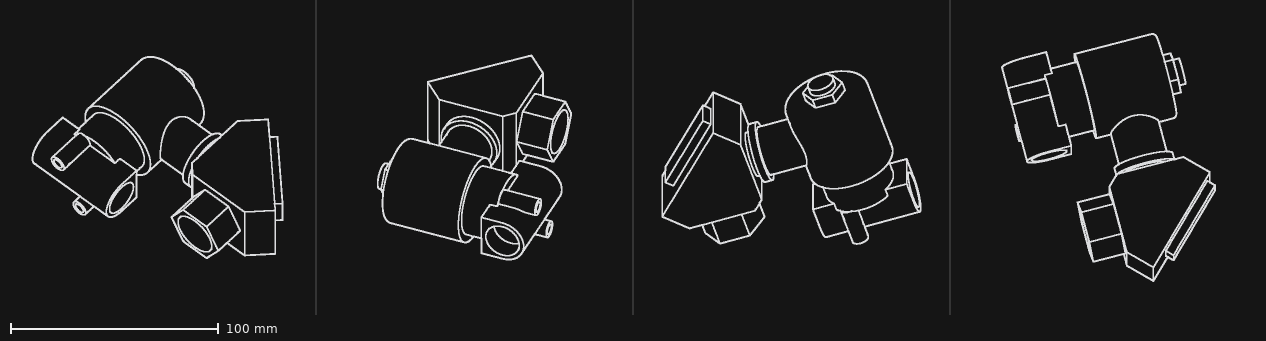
import cadquery as cq
import math


overall_length = 116.4

coil_diameter = 42.0
coil_top = 21.3
coil_bottom = -19.1
coil_rim_fillet = 2.2
conduit_radius = 12.0
conduit_end = 37.7
flange_radius = 14.5
flange_end = 41.5
neck_radius = 11.0

stem_radius = 6.4
stem_top = 29.2
nut_corner_diameter = 19.9
nut_top = 26.0
base_diameter = 34.1
base_bottom = -36.0
port_block_left = -23.7
port_block_length = 47.5
port_block_radius = 11.1
port_block_top = -32.2
port_axis_y = -43.3
port_radius = 8.7
port_depth = 10.0
tube_radius = 4.1
tube_bore_radius = 2.6
tube_end = -54.8
tube_bore_depth = 14.0
tube_offset_x = 7.0
tube_offset_z = 12.0

box_left = 44.0
box_bottom = -20.0
box_height = 36.1
box_corner_chamfer = 5.0
box_side = 38.2
box_right = port_block_left + overall_length
box_shoulder = box_right - box_left - box_side
cover_length = 39.7
cover_width = 13.7
cover_thickness = 4.3
cover_shift = 4.7
hex_corner_diameter = 30.2
hex_center_x = 64.4
hex_end = -36.0
hex_bore_radius = 10.8
hex_bore_depth = 12.7


def cylinder_y(radius, y_start, y_end, x=0, z=0):
    """Round bar along Y between two heights."""
    length = y_end - y_start
    return cq.Workplane("XZ", origin=(x, y_start, z)).circle(radius).extrude(-length)


def hexagon_y(corner_diameter, y_start, y_end, x=0):
    """Hexagonal bar along Y with two corners pointing along X."""
    length = y_end - y_start
    return cq.Workplane("XZ", origin=(x, y_start, 0)).polygon(6, corner_diameter).extrude(-length)


def cylinder_x(radius, x_start, x_end, y=0):
    """Round bar along X between two positions."""
    return cq.Workplane("YZ", origin=(x_start, y, 0)).circle(radius).extrude(x_end - x_start)


def make_coil():
    coil = cylinder_y(coil_diameter / 2, coil_bottom, coil_top).faces(">Y").edges().fillet(coil_rim_fillet)
    conduit = cylinder_x(conduit_radius, 0, conduit_end)
    flange = cylinder_x(flange_radius, conduit_end, flange_end)
    neck = cylinder_x(neck_radius, flange_end, box_left)
    stem_hole = cylinder_y(stem_radius, coil_bottom, coil_top)
    return coil.union(conduit).union(flange).union(neck).cut(stem_hole)


def make_port_block():
    return (
        cq.Workplane("YZ", origin=(port_block_left, 0, 0))
        .moveTo(port_block_top, port_block_radius)
        .lineTo(port_axis_y, port_block_radius)
        .threePointArc((port_axis_y - port_block_radius, 0), (port_axis_y, -port_block_radius))
        .lineTo(port_block_top, -port_block_radius)
        .close()
        .extrude(port_block_length)
    )


def make_valve():
    stem = cylinder_y(stem_radius, coil_bottom, stem_top)
    nut = hexagon_y(nut_corner_diameter, coil_top, nut_top)
    base = cylinder_y(base_diameter / 2, base_bottom, coil_bottom)
    valve = base.union(stem).union(nut).union(make_port_block())
    for side in (-1, 1):
        x = side * tube_offset_x
        z = -side * tube_offset_z
        valve = valve.union(cylinder_y(tube_radius, tube_end, base_bottom, x, z))
        valve = valve.cut(cylinder_y(tube_bore_radius, tube_end, tube_end + tube_bore_depth, x, z))
    port_block_right = port_block_left + port_block_length
    valve = valve.cut(cylinder_x(port_radius, port_block_left, port_block_left + port_depth, port_axis_y))
    valve = valve.cut(cylinder_x(port_radius, port_block_right - port_depth, port_block_right, port_axis_y))
    return valve


def make_junction_box():
    box_reach = box_side + box_shoulder
    outline = [
        (box_corner_chamfer, 0),
        (box_side, 0),
        (box_reach, box_shoulder),
        (box_shoulder, box_reach),
        (0, box_side),
        (0, box_corner_chamfer),
    ]
    box = (
        cq.Workplane("XY", origin=(box_left, box_bottom, -box_height / 2))
        .polyline(outline)
        .close()
        .extrude(box_height)
    )
    face_middle = (box_reach + box_shoulder) / 2
    shift = cover_shift / math.sqrt(2)
    cover_plane = cq.Plane(
        origin=(box_left + face_middle - shift, box_bottom + face_middle + shift, 0),
        xDir=(-1, 1, 0),
        normal=(1, 1, 0),
    )
    cover = cq.Workplane(cover_plane).rect(cover_length, cover_width).extrude(cover_thickness)
    hexagon = hexagon_y(hex_corner_diameter, hex_end, box_bottom, hex_center_x)
    bore = cylinder_y(hex_bore_radius, hex_end, hex_end + hex_bore_depth, hex_center_x)
    return box.union(cover).union(hexagon).cut(bore)


coil = make_coil()
valve = make_valve()
junction_box = make_junction_box()

result = cq.Compound.makeCompound([coil.val(), valve.val(), junction_box.val()])